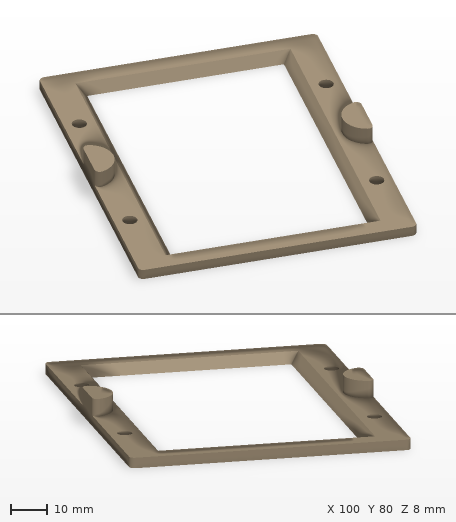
import cadquery as cq
import math

length = 100.0
width = 80.0
plate_thickness = 3.0
corner_radius = 1.5

window_length = 89.2
window_width = 61.8
window_slope_run = 2.6

hole_diameter = 4.2
hole_spacing_x = 50.0
hole_spacing_y = 71.0

total_height = 8.0
tab_radius = 7.1
tab_corner_radius = 1.5


def make_plate():
    plate = cq.Workplane("XY").box(length, width, plate_thickness, centered=(True, True, False))
    return plate.edges("|Z").fillet(corner_radius)


def make_window():
    slope_angle = math.degrees(math.atan2(window_slope_run, plate_thickness))
    return (
        cq.Workplane("XY")
        .workplane(offset=plate_thickness)
        .rect(window_length, window_width)
        .extrude(-plate_thickness, taper=slope_angle)
    )


def make_tab():
    """Half disc with rounded corners, its flat side flush with the -Y edge."""
    edge_y = -width / 2
    return (
        cq.Workplane("XY")
        .workplane(offset=plate_thickness)
        .moveTo(-tab_radius, edge_y)
        .lineTo(tab_radius, edge_y)
        .threePointArc((0, edge_y + tab_radius), (-tab_radius, edge_y))
        .close()
        .extrude(total_height - plate_thickness)
        .edges("|Z")
        .fillet(tab_corner_radius)
    )


frame = make_plate().cut(make_window())
frame = (
    frame.faces(">Z")
    .workplane(origin=(0, 0, plate_thickness))
    .rect(hole_spacing_x, hole_spacing_y, forConstruction=True)
    .vertices()
    .hole(hole_diameter)
)

front_tab = make_tab()
result = frame.union(front_tab).union(front_tab.mirror("XZ"))